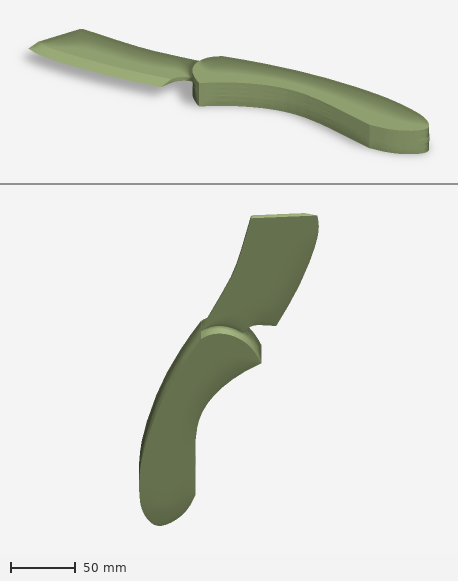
import cadquery as cq


total_thickness = 20.0
blade_thickness = 3.2
plates_per_side = 2
plate_thickness = (total_thickness - blade_thickness) / (2 * plates_per_side)
blade_bottom = -blade_thickness / 2
blade_top = blade_thickness / 2

pin_diameter = 11.5
pin_centres = [(164.0, 32.5), (319.7, 24.5)]

nose_top = (150.5, 55.2)
nose_front = (139.0, 39.0)
nose_notch = (141.5, 24.0)
nose_lower = (149.5, 11.7)
belly_corner = (160.0, 2.0)
butt_corner = (313.3, 2.0)
belly_curve = [(190.0, 20.0), (223.5, 27.5), (263.8, 20.0)]
butt_curve = [(328.3, 2.5), (344.0, 7.0)]
butt_end_height = 19.0
back_curve = [(347.5, 32.0), (328.3, 43.0), (302.5, 51.5), (261.7, 58.7), (218.5, 61.2), (180.0, 59.0)]
handle_length_end = 355.3
tang_length_end = 356.0

blade_tip = (0.0, 12.5)
spine_tip = (19.0, 57.3)
spine_round = (20.0, 59.0)
spine_start = (22.8, 59.5)
spine_curve = [(51.5, 55.5), (83.5, 52.5), (117.5, 53.5)]
edge_curve = [(12.8, 6.8), (35.5, 2.5), (76.5, 0.0)]
heel = (125.5, 2.0)
notch_start = (128.5, 14.2)
notch_middle = (133.0, 21.0)

bevel_curve = [(4.0, 21.5), (12.8, 17.0), (32.0, 14.0), (76.5, 11.0), (128.5, 13.5)]
blank_margin = 1.8
bevel_overrun = 10.7


def add_rear(outline, butt_end):
    """Continue from the belly corner round the butt to the top of the nose."""
    return (
        outline.spline([*belly_curve, butt_corner], includeCurrent=True)
        .spline(
            [*butt_curve, (butt_end, butt_end_height), *back_curve, nose_top],
            includeCurrent=True,
        )
    )


def pin_stock():
    """Cylinders at the pin places, as long as the stack is thick."""
    return (
        cq.Workplane("XY", origin=(0, 0, -total_thickness / 2))
        .pushPoints(pin_centres)
        .circle(pin_diameter / 2)
        .extrude(total_thickness, combine=False)
    )


def make_plate(bottom):
    """One handle plate with its underside at the given height."""
    start = cq.Workplane("XY", origin=(0, 0, bottom)).moveTo(*belly_corner)
    outline = (
        add_rear(start, handle_length_end)
        .spline([nose_front, nose_notch, nose_lower, belly_corner], includeCurrent=True)
        .close()
    )
    return outline.extrude(plate_thickness).cut(pin_stock())


def cutter_wire(curve, height):
    """Closed outline of the region below a blade curve, run on past both of its ends."""
    left_side = curve[0][0] - bevel_overrun
    right_side = curve[-1][0] + bevel_overrun
    return (
        cq.Workplane("XY", origin=(0, 0, height))
        .moveTo(*curve[0])
        .spline(curve[1:], includeCurrent=True)
        .lineTo(right_side, curve[-1][1])
        .lineTo(right_side, -bevel_overrun)
        .lineTo(left_side, -bevel_overrun)
        .lineTo(left_side, curve[0][1])
        .close()
        .val()
    )


def extend_down(upper_point, lower_point):
    """Point on the line through both points, a little below the lowest part of the edge."""
    slope = (upper_point[0] - lower_point[0]) / (upper_point[1] - lower_point[1])
    return (lower_point[0] - slope * (lower_point[1] + blank_margin), -blank_margin)


def make_blade():
    """Blade and tang in one piece; the blank reaches below the edge and the bevel cut trims it."""
    start = (
        cq.Workplane("XY", origin=(0, 0, blade_bottom))
        .moveTo(*extend_down(spine_tip, blade_tip))
        .lineTo(*extend_down(notch_start, heel))
        .lineTo(*notch_start)
        .threePointArc(notch_middle, nose_notch)
        .spline([nose_lower, belly_corner], includeCurrent=True)
    )
    outline = (
        add_rear(start, tang_length_end)
        .spline([*reversed(spine_curve), spine_start], includeCurrent=True)
        .threePointArc(spine_round, spine_tip)
        .close()
    )
    lower = cutter_wire([blade_tip, *edge_curve, heel], blade_bottom)
    upper = cutter_wire(bevel_curve, blade_top)
    bevel = cq.Solid.makeLoft([lower, upper], True)
    return outline.extrude(blade_thickness).cut(cq.Workplane(bevel)).cut(pin_stock())


blade = make_blade()
plates = []
for layer in range(plates_per_side):
    rise = layer * plate_thickness
    plates.append(make_plate(blade_top + rise))
    plates.append(make_plate(blade_bottom - rise - plate_thickness))
pins = pin_stock()

result = cq.Compound.makeCompound([blade.val(), *[plate.val() for plate in plates], *pins.vals()])